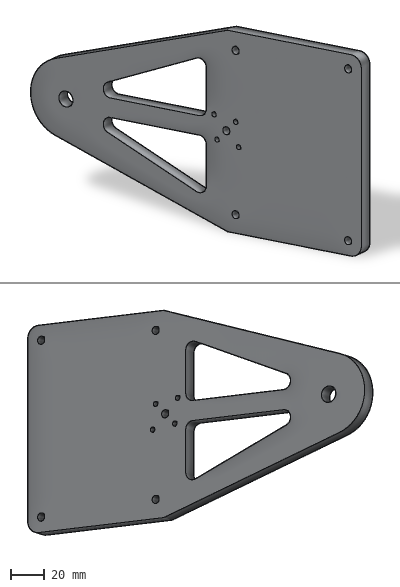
import cadquery as cq
import math

length = 237.2
height = 127.0
thickness = 9.5
half_height = height / 2
nose_radius = 25.4
shoulder_x = 141.4
corner_radius = 7.5

window_tip_x = 32.0
window_back_x = 126.0
window_inner_z = 6.2
window_outer_z = 44.8
window_radius = 5.0

nose_hole_diameter = 10.0
mount_hole_diameter = 5.0
front_mount_x = 147.0
front_mount_z = 51.7
rear_mount_x = 227.7
rear_mount_z = 54.0
hub_x = 140.5
hub_hole_diameter = 5.0
hub_screw_diameter = 3.0
hub_short_spacing = 19.0
hub_long_spacing = 25.0


def make_plate():
    """Plate with a round nose whose flanks run tangentially to the shoulders."""
    run = shoulder_x - nose_radius
    flank_angle = math.atan2(half_height, run) - math.asin(nose_radius / math.hypot(run, half_height))
    tangent_x = nose_radius * (1 - math.sin(flank_angle))
    tangent_z = nose_radius * math.cos(flank_angle)
    return (
        cq.Workplane("XZ")
        .moveTo(tangent_x, -tangent_z)
        .threePointArc((0, 0), (tangent_x, tangent_z))
        .lineTo(shoulder_x, half_height)
        .lineTo(length, half_height)
        .lineTo(length, -half_height)
        .lineTo(shoulder_x, -half_height)
        .close()
        .extrude(thickness / 2, both=True)
        .edges("|Y and >X")
        .fillet(corner_radius)
    )


def make_window(side):
    """Rounded triangular cutter above (side = 1) or below (side = -1) the centre line."""
    corners = [
        (window_tip_x, side * window_inner_z),
        (window_back_x, side * window_inner_z),
        (window_back_x, side * window_outer_z),
    ]
    return (
        cq.Workplane("XZ")
        .polyline(corners)
        .close()
        .extrude(thickness, both=True)
        .edges("|Y")
        .fillet(window_radius)
    )


def make_holes(centres, diameter):
    """Cutter for through holes at the given (x, z) centres."""
    return cq.Workplane("XZ").pushPoints(centres).circle(diameter / 2).extrude(thickness, both=True)


def hub_screw_centres():
    """Two screw pairs on crossing 45 degree diagonals around the hub."""
    short_offset = hub_short_spacing / 2 * math.sqrt(0.5)
    long_offset = hub_long_spacing / 2 * math.sqrt(0.5)
    return [
        (hub_x + short_offset, short_offset),
        (hub_x - short_offset, -short_offset),
        (hub_x + long_offset, -long_offset),
        (hub_x - long_offset, long_offset),
    ]


mount_centres = [
    (x, side * z)
    for x, z in ((front_mount_x, front_mount_z), (rear_mount_x, rear_mount_z))
    for side in (1, -1)
]

result = make_plate()
for window_side in (1, -1):
    result = result.cut(make_window(window_side))
result = result.cut(make_holes([(nose_radius, 0)], nose_hole_diameter))
result = result.cut(make_holes(mount_centres, mount_hole_diameter))
result = result.cut(make_holes([(hub_x, 0)], hub_hole_diameter))
result = result.cut(make_holes(hub_screw_centres(), hub_screw_diameter))